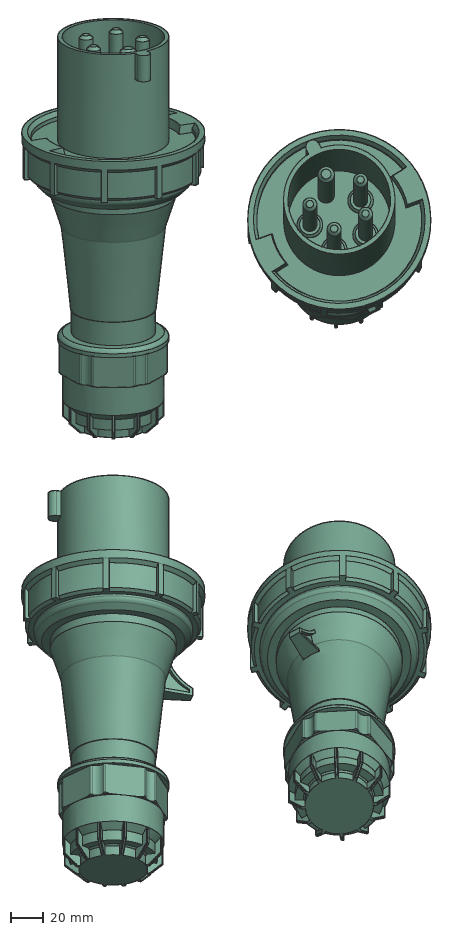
import cadquery as cq
import math

TOTAL_HEIGHT = 254.5
COLLAR_TOP = 192.5
COLLAR_BOTTOM = 165.7
NECK_TOP = 157.0
UPPER_CONE_TOP = 151.7
CONE_JOINT = 131.5
LOWER_CONE_BOTTOM = 77.1
NUT_TOP = 61.9
HEX_TOP = 56.8
HEX_BOTTOM = 36.5
CAGE_TOP = 18.0
CAGE_STEP = 7.1

HANDLE_NECK_RADIUS = 39.0
CONE_JOINT_RADIUS = 32.3
LOWER_CONE_RADIUS = 26.5
STEM_RADIUS = 26.0

SLEEVE_RADIUS = 34.4
SLEEVE_BORE_RADIUS = 31.5
KEY_HALF_WIDTH = 4.3
KEY_REACH = 41.2
KEY_HEIGHT = 17.0

COLLAR_RADIUS = 56.5
PANEL_DEPTH = 2.3
RIM_HEIGHT = 5.5
COLLAR_EDGE_CHAMFER = 1.8
COLLAR_RIB_COUNT = 10
COLLAR_RIB_WIDTH = 3.8
COLLAR_RIB_INNER_DEPTH = 5.0
RECESS_TOP_RADIUS = 53.0
RECESS_WALL_RADIUS = 51.0
RECESS_DEPTH = 5.5
RECESS_BEVEL_DEPTH = 3.0
TAB_TOP_RADIUS = 43.0
TAB_FLOOR_RADIUS = 42.0
TAB_TRIM_ALLOWANCE = 2.5
TAB_INNER_HALF_WIDTH = 10.7
TAB_OUTER_HALF_WIDTH = 12.5
TAB_DRAFT = 7.0
SHOULDER_RADIUS = 49.1
SHOULDER_CYLINDER_BOTTOM = 164.2
SHOULDER_BEVEL_RADIUS = 47.9
SHOULDER_BOTTOM_RADIUS = 44.3

PIN_COUNT = 5
PIN_CIRCLE_RADIUS = 18.3
EARTH_PIN_RADIUS = 5.0
PHASE_PIN_RADIUS = 4.3
EARTH_PIN_TOP = 252.5
PHASE_PIN_TOP = 253.3
PIN_TIP_CHAMFER = 2.0
PIN_BOSS_RADIUS = 8.0
PIN_BOSS_CHAMFER = 1.5
PIN_BOSS_HEIGHT = 2.0
PIN_EMBEDMENT = 2.5

NUT_FLANGE_RADIUS = 34.4
NUT_FLANGE_TOP_RADIUS = 31.5
NUT_FLANGE_ARC_BOTTOM = NUT_TOP - 2.5
NUT_FLANGE_ARC_MID = (33.4, NUT_TOP - 1.0)
NUT_BODY_RADIUS = 31.3
HEX_CORNER_COUNT = 6
FLUTE_RADIUS = 5.5
FLUTE_BOTTOM_RADIUS = 31.8
FLUTE_LIP_ROUND = 1.3
HEX_BEVEL_RADIUS = 32.8
HEX_BEVEL_HEIGHT = 1.3

CAGE_RIB_COUNT = 12
CAGE_RIB_WIDTH = 2.0
CAGE_RIB_CHAMFER = 0.5
CAGE_PANEL_RADIUS = 27.2
CAGE_PANEL_TOP = 14.0
CAGE_CORE_RADIUS = 21.1
CAGE_STEP_BEVEL = 1.0
CAGE_END_RADIUS = 23.7

HOOK_TIP_X = -49.6
HOOK_ROOT_X = -25.5
HOOK_BOTTOM = 123.7
HOOK_TIP_TOP = 128.8
HOOK_ARC_MID = (-41.2, 134.5)
HOOK_ARC_END = (-35.1, 142.5)
HOOK_TIP_HALF_WIDTH = 3.5
HOOK_ROOT_HALF_WIDTH = 6.5
HOOK_WEB_HALF_WIDTH = 2.3
HOOK_WALL = 2.0

COLLAR_FLOOR = COLLAR_TOP - RECESS_DEPTH


def cylinder(radius, bottom, top):
    return cq.Workplane("XY").workplane(offset=bottom).circle(radius).extrude(top - bottom)


def frustum(bottom_radius, bottom, top_radius, top):
    solid = cq.Solid.makeCone(bottom_radius, top_radius, top - bottom, cq.Vector(0, 0, bottom))
    return cq.Workplane(obj=solid)


def ring_of(count, piece):
    """Copies of a piece spaced evenly about the axis."""
    ring = piece
    for index in range(1, count):
        ring = ring.union(piece.rotate((0, 0, 0), (0, 0, 1), index * 360 / count))
    return ring


def make_handle():
    """Turned body: shoulder under the collar, two cones and the stem."""
    return (
        cq.Workplane("XZ")
        .moveTo(0, HEX_TOP)
        .lineTo(STEM_RADIUS, HEX_TOP)
        .lineTo(STEM_RADIUS, LOWER_CONE_BOTTOM)
        .lineTo(LOWER_CONE_RADIUS, LOWER_CONE_BOTTOM)
        .lineTo(CONE_JOINT_RADIUS, CONE_JOINT)
        .lineTo(HANDLE_NECK_RADIUS, UPPER_CONE_TOP)
        .lineTo(HANDLE_NECK_RADIUS, NECK_TOP)
        .lineTo(SHOULDER_BOTTOM_RADIUS, NECK_TOP)
        .lineTo(SHOULDER_BEVEL_RADIUS, NECK_TOP + SHOULDER_BEVEL_RADIUS - SHOULDER_BOTTOM_RADIUS)
        .tangentArcPoint((SHOULDER_RADIUS, SHOULDER_CYLINDER_BOTTOM), relative=False)
        .lineTo(SHOULDER_RADIUS, COLLAR_FLOOR)
        .lineTo(0, COLLAR_FLOOR)
        .close()
        .revolve(360, (0, 0, 0), (0, 1, 0))
    )


def make_collar():
    """Locking ring with grip ribs, a recessed top and two bayonet tabs."""
    panel_radius = COLLAR_RADIUS - PANEL_DEPTH
    rim_bottom = COLLAR_TOP - RIM_HEIGHT
    panel_top = rim_bottom - PANEL_DEPTH

    collar = cylinder(panel_radius, COLLAR_BOTTOM, rim_bottom).faces("<Z").chamfer(COLLAR_EDGE_CHAMFER)
    collar = collar.union(cylinder(COLLAR_RADIUS, rim_bottom, COLLAR_TOP))
    collar = collar.union(frustum(panel_radius, panel_top, COLLAR_RADIUS, rim_bottom))

    rib = (
        cq.Workplane("XY")
        .workplane(offset=COLLAR_BOTTOM)
        .center(COLLAR_RADIUS, 0)
        .rect(2 * COLLAR_RIB_INNER_DEPTH, COLLAR_RIB_WIDTH)
        .extrude(rim_bottom - COLLAR_BOTTOM)
        .intersect(cylinder(COLLAR_RADIUS, COLLAR_BOTTOM, rim_bottom))
    )
    collar = collar.union(ring_of(COLLAR_RIB_COUNT, rib))

    bevel_bottom = COLLAR_TOP - RECESS_BEVEL_DEPTH
    recess = cylinder(RECESS_WALL_RADIUS, COLLAR_FLOOR, COLLAR_TOP)
    recess = recess.union(frustum(RECESS_WALL_RADIUS, bevel_bottom, RECESS_TOP_RADIUS, COLLAR_TOP))
    return collar.cut(recess.cut(make_tabs()))


def make_tabs():
    """Bayonet tabs on +Y and -Y: drafted sides and a conical inner end."""
    tab_start = TAB_FLOOR_RADIUS - TAB_TRIM_ALLOWANCE
    tab = (
        cq.Workplane("XY")
        .workplane(offset=COLLAR_FLOOR)
        .moveTo(-TAB_INNER_HALF_WIDTH, tab_start)
        .lineTo(TAB_INNER_HALF_WIDTH, tab_start)
        .lineTo(TAB_OUTER_HALF_WIDTH, COLLAR_RADIUS)
        .lineTo(-TAB_OUTER_HALF_WIDTH, COLLAR_RADIUS)
        .close()
        .extrude(RECESS_DEPTH, taper=TAB_DRAFT)
    )
    tab = tab.cut(frustum(TAB_FLOOR_RADIUS, COLLAR_FLOOR, TAB_TOP_RADIUS, COLLAR_TOP))
    return tab.union(tab.mirror("XZ"))


def make_sleeve():
    """Open tube around the pins, with a round-ended key on the +X side."""
    key_bottom = TOTAL_HEIGHT - KEY_HEIGHT
    key_round_x = KEY_REACH - KEY_HALF_WIDTH
    key = (
        cq.Workplane("XY")
        .workplane(offset=key_bottom)
        .moveTo(0, -KEY_HALF_WIDTH)
        .lineTo(key_round_x, -KEY_HALF_WIDTH)
        .threePointArc((KEY_REACH, 0), (key_round_x, KEY_HALF_WIDTH))
        .lineTo(0, KEY_HALF_WIDTH)
        .close()
        .extrude(KEY_HEIGHT)
    )
    bore = cylinder(SLEEVE_BORE_RADIUS, COLLAR_FLOOR, TOTAL_HEIGHT)
    return cylinder(SLEEVE_RADIUS, COLLAR_FLOOR, TOTAL_HEIGHT).union(key).cut(bore)


def make_pins():
    """The earth pin on +X is plain; the phase pins stand on small bosses."""
    base = COLLAR_FLOOR - PIN_EMBEDMENT
    pins = cq.Workplane("XY")
    for index in range(PIN_COUNT):
        is_earth = index == 0
        angle = 2 * math.pi * index / PIN_COUNT
        radius = EARTH_PIN_RADIUS if is_earth else PHASE_PIN_RADIUS
        top = EARTH_PIN_TOP if is_earth else PHASE_PIN_TOP
        pin = cylinder(radius, base, top).faces(">Z").chamfer(PIN_TIP_CHAMFER)
        if not is_earth:
            boss = cylinder(PIN_BOSS_RADIUS, base, COLLAR_FLOOR + PIN_BOSS_HEIGHT)
            pin = pin.union(boss.faces(">Z").chamfer(PIN_BOSS_CHAMFER))
        place = (PIN_CIRCLE_RADIUS * math.cos(angle), PIN_CIRCLE_RADIUS * math.sin(angle), 0)
        pins = pins.add(pin.translate(place))
    return pins.combine()


def make_gland_nut():
    """Round flange over a fluted hexagon, with a cylindrical body below."""
    corner_radius = NUT_BODY_RADIUS / math.cos(math.pi / HEX_CORNER_COUNT)
    hexagon = (
        cq.Workplane("XY")
        .workplane(offset=HEX_BOTTOM)
        .polygon(HEX_CORNER_COUNT, 2 * corner_radius)
        .extrude(HEX_TOP - HEX_BOTTOM)
    )
    flutes = (
        cq.Workplane("XY")
        .workplane(offset=HEX_BOTTOM)
        .polarArray(FLUTE_BOTTOM_RADIUS + FLUTE_RADIUS, 0, 360, HEX_CORNER_COUNT)
        .circle(FLUTE_RADIUS)
        .extrude(HEX_TOP - HEX_BOTTOM)
    )
    fluted = hexagon.cut(flutes).edges("|Z").fillet(FLUTE_LIP_ROUND)

    bevel_top = HEX_BOTTOM + HEX_BEVEL_HEIGHT
    bevel = frustum(HEX_BEVEL_RADIUS, HEX_BOTTOM, NUT_FLANGE_RADIUS, bevel_top)
    fluted = fluted.intersect(bevel.union(cylinder(NUT_FLANGE_RADIUS, bevel_top, HEX_TOP)))

    flange = (
        cq.Workplane("XZ")
        .moveTo(0, HEX_TOP)
        .lineTo(NUT_FLANGE_RADIUS, HEX_TOP)
        .lineTo(NUT_FLANGE_RADIUS, NUT_FLANGE_ARC_BOTTOM)
        .threePointArc(NUT_FLANGE_ARC_MID, (NUT_FLANGE_TOP_RADIUS, NUT_TOP))
        .lineTo(0, NUT_TOP)
        .close()
        .revolve(360, (0, 0, 0), (0, 1, 0))
    )
    return fluted.union(flange).union(cylinder(NUT_BODY_RADIUS, CAGE_TOP, HEX_TOP))


def make_cage():
    """Stepped core with thin ribs that taper at the cable end."""
    core = cylinder(CAGE_CORE_RADIUS, 0, CAGE_TOP)
    bevel_bottom = CAGE_STEP - CAGE_STEP_BEVEL
    bevel_radius = CAGE_CORE_RADIUS + CAGE_STEP_BEVEL
    core = core.union(frustum(CAGE_CORE_RADIUS, bevel_bottom, bevel_radius, CAGE_STEP))
    core = core.union(cylinder(CAGE_PANEL_RADIUS, CAGE_STEP, CAGE_TOP))
    core = core.union(frustum(CAGE_PANEL_RADIUS, CAGE_PANEL_TOP, NUT_BODY_RADIUS, CAGE_TOP))

    rib = (
        cq.Workplane("XZ")
        .moveTo(0, 0)
        .lineTo(CAGE_END_RADIUS, 0)
        .lineTo(NUT_BODY_RADIUS, CAGE_STEP)
        .lineTo(NUT_BODY_RADIUS, CAGE_TOP)
        .lineTo(0, CAGE_TOP)
        .close()
        .extrude(CAGE_RIB_WIDTH / 2, both=True)
    )
    rib = rib.edges("(|Z and >X) or (not(|X or |Y or |Z))").chamfer(CAGE_RIB_CHAMFER)
    return core.union(ring_of(CAGE_RIB_COUNT, rib))


def hook_profile():
    return (
        cq.Workplane("XZ")
        .moveTo(HOOK_ROOT_X, HOOK_BOTTOM)
        .lineTo(HOOK_TIP_X, HOOK_BOTTOM)
        .lineTo(HOOK_TIP_X, HOOK_TIP_TOP)
        .threePointArc(HOOK_ARC_MID, HOOK_ARC_END)
        .lineTo(HOOK_ROOT_X, HOOK_ARC_END[1])
        .close()
    )


def make_hook():
    """Curved latch hook, narrower at its tip, with both flanks pocketed."""
    block = hook_profile().extrude(HOOK_ROOT_HALF_WIDTH, both=True)
    plan = (
        cq.Workplane("XY")
        .workplane(offset=HOOK_BOTTOM)
        .moveTo(HOOK_TIP_X, -HOOK_TIP_HALF_WIDTH)
        .lineTo(HOOK_TIP_X, HOOK_TIP_HALF_WIDTH)
        .lineTo(HOOK_ROOT_X, HOOK_ROOT_HALF_WIDTH)
        .lineTo(HOOK_ROOT_X, -HOOK_ROOT_HALF_WIDTH)
        .close()
        .extrude(HOOK_ARC_END[1] - HOOK_BOTTOM)
    )
    pocket = hook_profile().offset2D(-HOOK_WALL).extrude(HOOK_ROOT_HALF_WIDTH, both=True)
    web = cq.Workplane("XY").box(2 * TOTAL_HEIGHT, 2 * HOOK_WEB_HALF_WIDTH, 2 * TOTAL_HEIGHT)
    return block.intersect(plan).cut(pocket.cut(web))


result = (
    make_handle()
    .union(make_collar())
    .union(make_sleeve())
    .union(make_pins())
    .union(make_gland_nut())
    .union(make_cage())
    .union(make_hook())
)